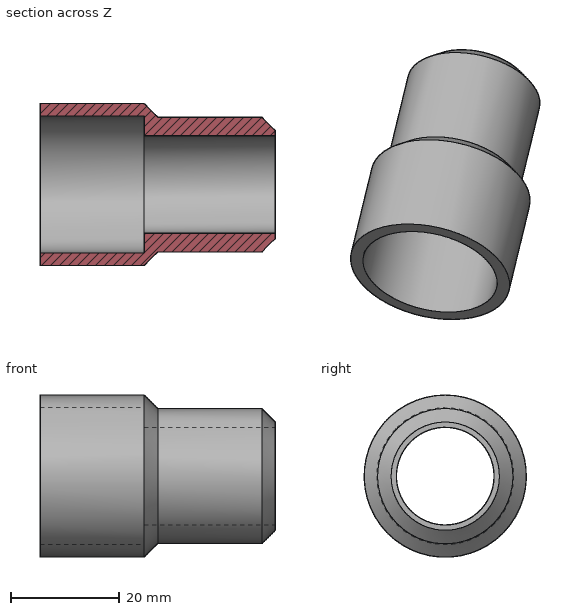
import cadquery as cq

total_length = 43.5
socket_outer_diameter = 30.0
socket_inner_diameter = 25.3
spigot_outer_diameter = 25.0
spigot_tip_diameter = 20.0
bore_diameter = 18.0

shoulder_length = (socket_outer_diameter - spigot_outer_diameter) / 2
tip_chamfer_length = (spigot_outer_diameter - spigot_tip_diameter) / 2
socket_length = total_length / 2 - shoulder_length
socket_depth = socket_length

mouth_x = -total_length / 2
tip_x = mouth_x + total_length
shoulder_start_x = mouth_x + socket_length
shoulder_end_x = shoulder_start_x + shoulder_length
tip_chamfer_start_x = tip_x - tip_chamfer_length


def make_outer_body():
    """Socket barrel, conical shoulder and chamfered spigot as one solid of revolution."""
    profile = (
        cq.Workplane("XZ")
        .moveTo(mouth_x, 0)
        .lineTo(mouth_x, socket_outer_diameter / 2)
        .lineTo(shoulder_start_x, socket_outer_diameter / 2)
        .lineTo(shoulder_end_x, spigot_outer_diameter / 2)
        .lineTo(tip_chamfer_start_x, spigot_outer_diameter / 2)
        .lineTo(tip_x, spigot_tip_diameter / 2)
        .lineTo(tip_x, 0)
        .close()
    )
    return profile.revolve(360, (0, 0, 0), (1, 0, 0))


def make_hole(diameter, depth):
    """Cylinder along +X that starts at the socket mouth."""
    return cq.Workplane("YZ", origin=(mouth_x, 0, 0)).circle(diameter / 2).extrude(depth)


socket = make_hole(socket_inner_diameter, socket_depth)
bore = make_hole(bore_diameter, total_length)

result = make_outer_body().cut(socket).cut(bore)